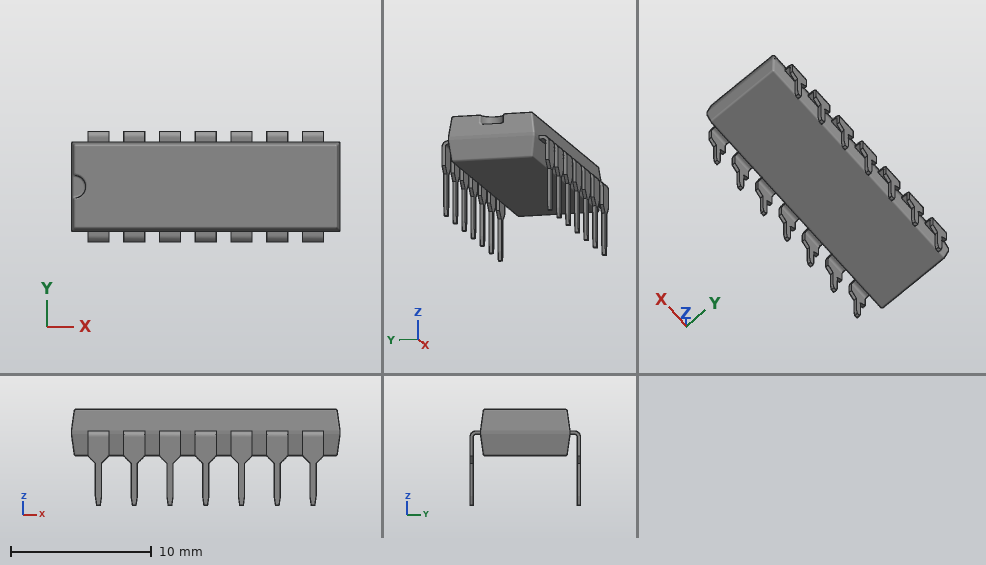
import cadquery as cq
import math

BODY_LENGTH = 19.1
BODY_WIDTH = 6.38
BODY_HEIGHT = 3.32
DRAFT_ANGLE = 8.0
EDGE_RADIUS = 0.15

NOTCH_RADIUS = 0.8
NOTCH_DEPTH = 0.7

LEADS_PER_SIDE = 7
LEAD_PITCH = 2.54
LEAD_SPAN = 7.87
LEAD_THICKNESS = 0.25
BEND_INNER_RADIUS = 0.21
SHOULDER_WIDTH = 1.5
PIN_WIDTH = 0.45
TIP_WIDTH = 0.27
TIP_LENGTH = 0.65
OVERALL_HEIGHT = 6.84

BAND_TOP = LEAD_THICKNESS / 2
BODY_TOP = BODY_HEIGHT / 2
BODY_BOTTOM = -BODY_TOP
LEAD_BOTTOM = BODY_TOP - OVERALL_HEIGHT
LEAD_OUTER = LEAD_SPAN / 2


def make_body():
    """Band with two drafted halves, notched at one end and rounded at its outer edges."""
    draft_height = BODY_TOP - BAND_TOP
    top_inset = draft_height * math.tan(math.radians(DRAFT_ANGLE))
    body = cq.Workplane("XY").box(BODY_LENGTH, BODY_WIDTH, LEAD_THICKNESS)
    upper_half = (
        cq.Workplane("XY", origin=(0, 0, BAND_TOP))
        .rect(BODY_LENGTH, BODY_WIDTH)
        .extrude(draft_height, taper=DRAFT_ANGLE)
    )
    body = body.union(upper_half).union(upper_half.mirror("XY"))

    notch = (
        cq.Workplane("XY", origin=(top_inset - BODY_LENGTH / 2, 0, BODY_TOP - NOTCH_DEPTH))
        .circle(NOTCH_RADIUS)
        .extrude(NOTCH_DEPTH)
    )
    body = body.cut(notch)

    band_edges = cq.selectors.BoxSelector(
        (-BODY_LENGTH, -BODY_WIDTH, -LEAD_THICKNESS),
        (BODY_LENGTH, BODY_WIDTH, LEAD_THICKNESS),
    )
    band_corners = cq.selectors.ParallelDirSelector(cq.Vector(0, 0, 1))
    rounded_edges = cq.selectors.InverseSelector(band_edges - band_corners)
    return body.edges(rounded_edges).fillet(EDGE_RADIUS)


def make_lead():
    """One lead on the -Y side at X = 0: bent strip trimmed to the pin outline."""
    bend_outer_radius = BEND_INNER_RADIUS + LEAD_THICKNESS
    lead_inner = LEAD_OUTER - LEAD_THICKNESS
    bend_y = bend_outer_radius - LEAD_OUTER
    bend_z = BAND_TOP - bend_outer_radius
    diagonal = math.sqrt(0.5)
    root_y = -BODY_WIDTH / 2 + LEAD_THICKNESS
    strip = (
        cq.Workplane("YZ")
        .moveTo(root_y, BAND_TOP)
        .lineTo(bend_y, BAND_TOP)
        .threePointArc(
            (bend_y - bend_outer_radius * diagonal, bend_z + bend_outer_radius * diagonal),
            (-LEAD_OUTER, bend_z),
        )
        .lineTo(-LEAD_OUTER, LEAD_BOTTOM)
        .lineTo(-lead_inner, LEAD_BOTTOM)
        .lineTo(-lead_inner, bend_z)
        .threePointArc(
            (bend_y - BEND_INNER_RADIUS * diagonal, bend_z + BEND_INNER_RADIUS * diagonal),
            (bend_y, -BAND_TOP),
        )
        .lineTo(root_y, -BAND_TOP)
        .close()
        .extrude(SHOULDER_WIDTH / 2, both=True)
    )

    pin_top = BODY_BOTTOM - (SHOULDER_WIDTH - PIN_WIDTH) / 2
    right_side = [
        (SHOULDER_WIDTH / 2, BAND_TOP),
        (SHOULDER_WIDTH / 2, BODY_BOTTOM),
        (PIN_WIDTH / 2, pin_top),
        (PIN_WIDTH / 2, LEAD_BOTTOM + TIP_LENGTH),
        (TIP_WIDTH / 2, LEAD_BOTTOM),
    ]
    left_side = [(-x, z) for x, z in reversed(right_side)]
    outline = cq.Workplane("XZ").polyline(right_side + left_side).close().extrude(LEAD_OUTER)
    return strip.intersect(outline)


result = make_body()
front_lead = make_lead()
back_lead = front_lead.mirror("XZ")
for index in range(LEADS_PER_SIDE):
    lead_x = (index - (LEADS_PER_SIDE - 1) / 2) * LEAD_PITCH
    result = result.union(front_lead.translate((lead_x, 0, 0)))
    result = result.union(back_lead.translate((lead_x, 0, 0)))